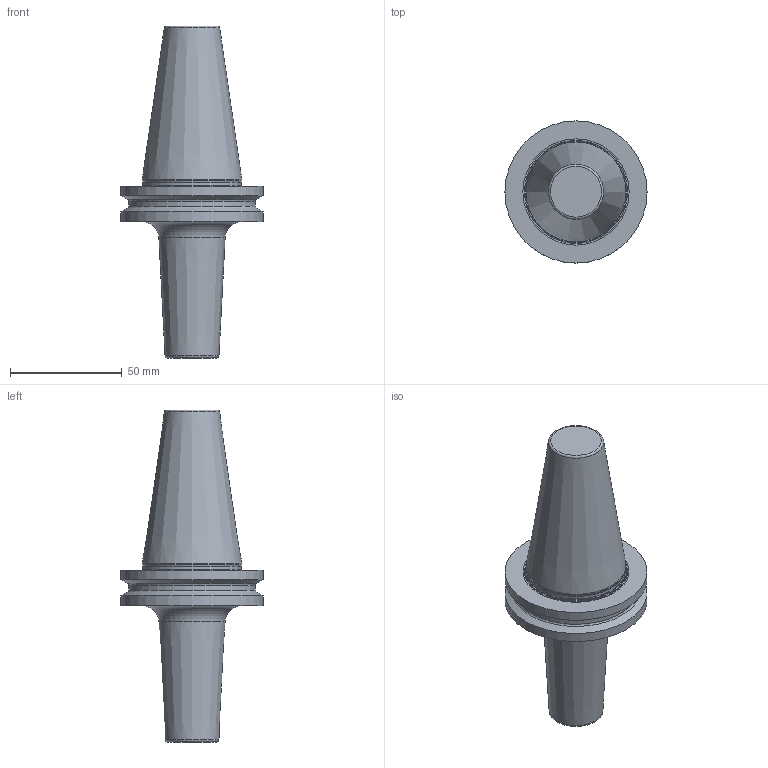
import math

import cadquery as cq

gauge_radius = 44.45 / 2
shank_length = 68.4
taper_slope = 7 / 24 / 2
shank_tip_fillet = 1.0

flange_radius = 63.55 / 2
flange_top_z = -3.2
flange_bottom_z = -19.1
groove_center_z = -11.05
groove_floor_radius = 56.5 / 2
groove_mouth_width = 7.3
groove_flank_angle = math.radians(30)
groove_floor_fillet = 1.0

relief_start_z = -0.6
relief_shank_depth = 0.2
relief_face_depth = 0.1
relief_corner_radius = 0.6
relief_shank_angle = math.radians(15)
relief_face_angle = math.radians(8)
relief_outer_radius = 23.75

nose_tip_z = -80.0
nose_tip_radius = 12.0
nose_angle = math.radians(3)
nose_tip_fillet = 1.0
nose_root_fillet = 7.5
nose_root_radius = nose_tip_radius + (flange_bottom_z - nose_tip_z) * math.tan(nose_angle)


def revolve_profile(profile):
    """Close a half profile drawn in (radius, z) and spin it about the Z axis."""
    return profile.close().revolve(360, (0, 0, 0), (0, 1, 0))


def make_shank():
    """Taper above the gauge plane on a short cylinder that reaches down to the flange."""
    shank = revolve_profile(
        cq.Workplane("XZ")
        .moveTo(0, flange_top_z)
        .lineTo(gauge_radius, flange_top_z)
        .lineTo(gauge_radius, 0)
        .lineTo(gauge_radius - shank_length * taper_slope, shank_length)
        .lineTo(0, shank_length)
    )
    return shank.faces(">Z").edges().fillet(shank_tip_fillet)


def make_flange():
    """Disc with a flat-floored V-groove around its rim."""
    half_mouth = groove_mouth_width / 2
    half_floor = half_mouth - (flange_radius - groove_floor_radius) * math.tan(groove_flank_angle)
    flange = revolve_profile(
        cq.Workplane("XZ")
        .moveTo(0, flange_bottom_z)
        .lineTo(flange_radius, flange_bottom_z)
        .lineTo(flange_radius, groove_center_z - half_mouth)
        .lineTo(groove_floor_radius, groove_center_z - half_floor)
        .lineTo(groove_floor_radius, groove_center_z + half_floor)
        .lineTo(flange_radius, groove_center_z + half_mouth)
        .lineTo(flange_radius, flange_top_z)
        .lineTo(0, flange_top_z)
    )
    smallest_circles = cq.selectors.RadiusNthSelector(0)
    return flange.edges("%CIRCLE").edges(smallest_circles).fillet(groove_floor_fillet)


def make_nose():
    """Slim cone that narrows downward to a rounded tip."""
    nose = revolve_profile(
        cq.Workplane("XZ")
        .moveTo(0, nose_tip_z)
        .lineTo(nose_tip_radius, nose_tip_z)
        .lineTo(nose_root_radius, flange_bottom_z)
        .lineTo(0, flange_bottom_z)
    )
    return nose.faces("<Z").edges().fillet(nose_tip_fillet)


def fillet_nose_root(body):
    """Round the inside corner where the nose meets the underside of the flange."""
    margin = 0.1
    reach = nose_root_radius + margin
    root_box = cq.selectors.BoxSelector(
        (-reach, -reach, flange_bottom_z - margin),
        (reach, reach, flange_bottom_z + margin),
        boundingbox=True,
    )
    return body.edges(root_box).fillet(nose_root_fillet)


def make_relief():
    """Ring removed from the shank and the flange face so a mating part seats cleanly."""
    neck_radius = gauge_radius - relief_shank_depth
    neck_top_z = relief_start_z - relief_shank_depth / math.tan(relief_shank_angle)
    floor_z = flange_top_z - relief_face_depth
    floor_outer_radius = relief_outer_radius - relief_face_depth / math.tan(relief_face_angle)
    arc_inset = relief_corner_radius * (1 - math.cos(math.radians(45)))
    return revolve_profile(
        cq.Workplane("XZ")
        .moveTo(gauge_radius, relief_start_z)
        .lineTo(neck_radius, neck_top_z)
        .lineTo(neck_radius, floor_z + relief_corner_radius)
        .threePointArc(
            (neck_radius + arc_inset, floor_z + arc_inset),
            (neck_radius + relief_corner_radius, floor_z),
        )
        .lineTo(floor_outer_radius, floor_z)
        .lineTo(relief_outer_radius, flange_top_z)
        .lineTo(relief_outer_radius, relief_start_z)
    )


lower_body = fillet_nose_root(make_flange().union(make_nose()))
result = lower_body.union(make_shank()).cut(make_relief())